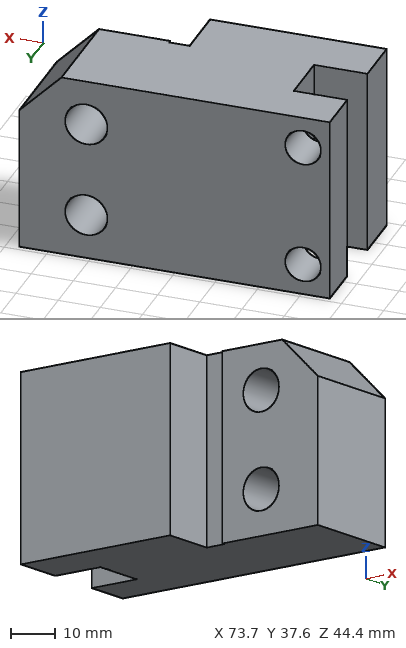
import cadquery as cq

length = 73.65
depth = 37.6
height = 44.4

slot_length = 12.7
slot_front = 12.75
slot_back = 26.1
body_length = 41.9
flange_front = slot_front
relief_width = 4.85
relief_depth = 0.7
corner_chamfer = 10.0

flange_hole_diameter = 10.0
flange_hole_x = 57.75
flange_hole_heights = (10.8, 33.65)
lug_hole_diameter = 8.5
lug_hole_x = slot_length / 2
lug_hole_edge_distance = 7.5
lug_hole_heights = (lug_hole_edge_distance, height - lug_hole_edge_distance)


def make_body():
    """Extrude the plan outline to the full height."""
    relief_end = body_length + relief_width
    relief_floor = flange_front + relief_depth
    outline = [
        (0, 0),
        (body_length, 0),
        (body_length, relief_floor),
        (relief_end, relief_floor),
        (relief_end, flange_front),
        (length, flange_front),
        (length, depth),
        (0, depth),
        (0, slot_back),
        (slot_length, slot_back),
        (slot_length, slot_front),
        (0, slot_front),
    ]
    return cq.Workplane("XY").polyline(outline).close().extrude(height)


def make_holes(x, heights, diameter, start_y):
    """Cylinders running in +Y from start_y to the back face."""
    centres = [(x, z) for z in heights]
    plane = cq.Workplane("XZ", origin=(0, start_y, 0))
    return plane.pushPoints(centres).circle(diameter / 2).extrude(start_y - depth)


body = make_body().edges("|Y and >X and >Z").chamfer(corner_chamfer)
flange_holes = make_holes(flange_hole_x, flange_hole_heights, flange_hole_diameter, flange_front)
lug_holes = make_holes(lug_hole_x, lug_hole_heights, lug_hole_diameter, slot_back)

result = body.cut(flange_holes).cut(lug_holes)